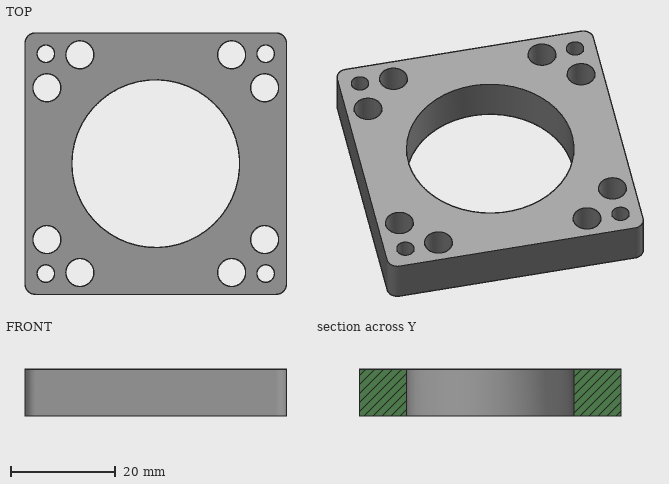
import cadquery as cq

side = 50.0
thickness = 9.0
corner_radius = 2.0

bore_diameter = 32.0
small_hole_diameter = 3.3
small_hole_offset = 21.0
large_hole_diameter = 5.3
large_hole_near = 14.5
large_hole_far = 20.8


def mirrored_points(x, y):
    """Repeat a point in all four quadrants."""
    return [(sx * x, sy * y) for sx in (-1, 1) for sy in (-1, 1)]


def drill(body, points, diameter):
    """Cut through holes at the given points of the top face."""
    return body.faces(">Z").workplane(origin=(0, 0, 0)).pushPoints(points).hole(diameter)


plate = cq.Workplane("XY").box(side, side, thickness).edges("|Z").fillet(corner_radius)
plate = drill(plate, [(0, 0)], bore_diameter)

plate = drill(plate, mirrored_points(small_hole_offset, small_hole_offset), small_hole_diameter)
large_hole_points = (
    mirrored_points(large_hole_near, large_hole_far)
    + mirrored_points(large_hole_far, large_hole_near)
)
plate = drill(plate, large_hole_points, large_hole_diameter)

result = plate